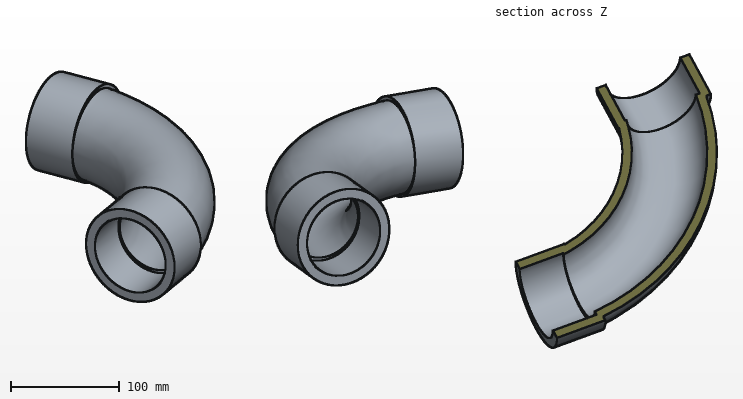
import cadquery as cq

overall_size = 241.0
collar_diameter = 94.0
collar_length = 49.2
socket_diameter = 75.0
socket_depth = 43.9

pipe_diameter = 87.5
pipe_bore = 69.2
bend_start = 24.5

axis_offset = overall_size - collar_diameter / 2
bend_radius = axis_offset - bend_start


def quarter_bend(diameter):
    """Quarter torus from the collar facing -X to the collar facing -Y."""
    return (
        cq.Workplane("YZ", origin=(bend_start, axis_offset, 0))
        .circle(diameter / 2)
        .revolve(90, (-bend_radius, 0, 0), (-bend_radius, -1, 0))
    )


def end_cylinders(diameter, length):
    """One cylinder at each open end, running inward from the end face."""
    left_end = cq.Workplane("YZ", origin=(0, axis_offset, 0)).circle(diameter / 2).extrude(length)
    front_end = cq.Workplane("XZ", origin=(axis_offset, 0, 0)).circle(diameter / 2).extrude(-length)
    return left_end.union(front_end)


def trimmed_bend(diameter):
    """Part of the quarter bend that lies beyond the socket floors."""
    span = overall_size - socket_depth
    beyond_sockets = cq.Workplane("XY", origin=(socket_depth, socket_depth, 0)).box(
        span, span, collar_diameter, centered=(False, False, True)
    )
    return quarter_bend(diameter).intersect(beyond_sockets)


collars = end_cylinders(collar_diameter, collar_length)
sockets = end_cylinders(socket_diameter, socket_depth)
outer_body = collars.union(trimmed_bend(pipe_diameter))
result = outer_body.cut(sockets).cut(trimmed_bend(pipe_bore))